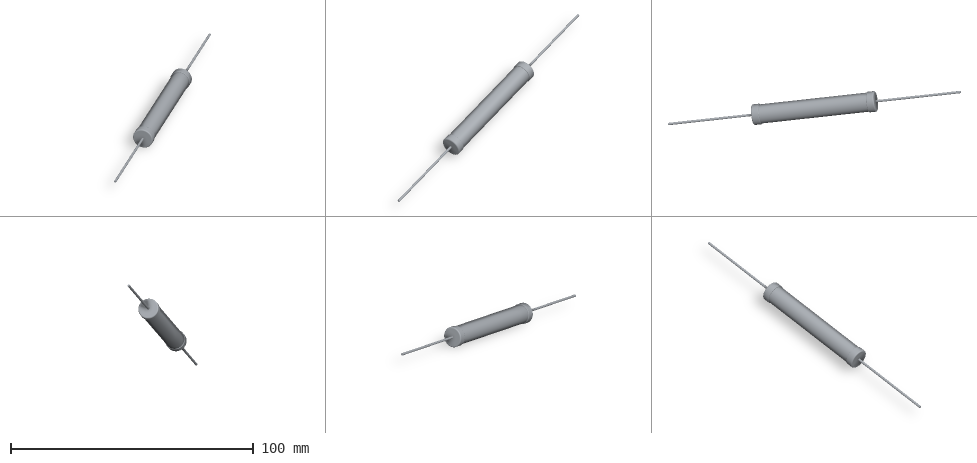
import cadquery as cq

total_length = 124.0
lead_diameter = 1.0
cap_diameter = 8.5
body_diameter = 7.9
body_length = 52.1
cap_length = 3.2
outer_rim_radius = 0.5
inner_rim_radius = 0.2


def rod(diameter, length, centre_y=0.0):
    """Solid cylinder along Y, centred at centre_y."""
    return (
        cq.Workplane("XZ", origin=(0, centre_y, 0))
        .circle(diameter / 2)
        .extrude(length / 2, both=True)
    )


def end_cap(side):
    """Cap at the +Y (side = 1) or -Y (side = -1) end, with both rims rounded."""
    cap = rod(cap_diameter, cap_length, side * (body_length - cap_length) / 2)
    outer_face, inner_face = (">Y", "<Y") if side > 0 else ("<Y", ">Y")
    cap = cap.faces(outer_face).edges().fillet(outer_rim_radius)
    return cap.faces(inner_face).edges().fillet(inner_rim_radius)


core = rod(body_diameter, body_length - cap_length)
leads = rod(lead_diameter, total_length)

result = core.union(leads)
for side in (-1, 1):
    result = result.union(end_cap(side))